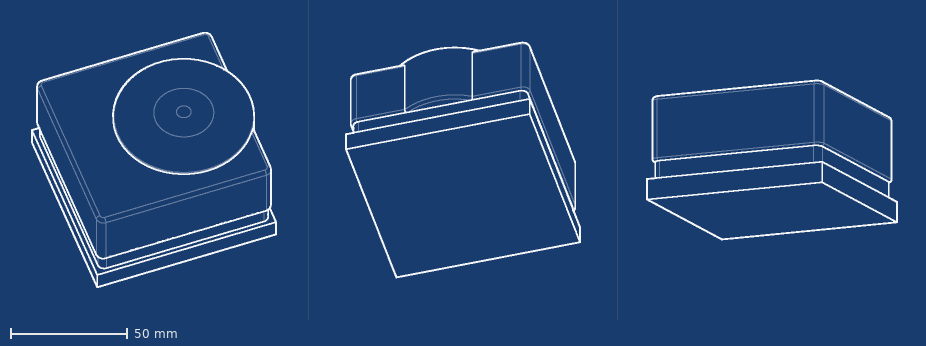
import cadquery as cq

base_side = 82.0
base_top = 9.1

neck_side = 77.95
neck_corner = 2.9

body_side = 80.0
body_corner = 3.2
body_bottom = 17.2
body_top = 46.0
top_fillet = 1.7
bottom_fillet = 1.3

total_length = 85.0
column_radius = 30.4
column_y = total_length - base_side / 2 - column_radius
rim_height = 46.7

overall_height = 50.0
lip_radius = 0.3
crown_radius = 12.9
crown_edge_height = 49.4
flat_radius = 3.15


def rounded_block(side, height, corner, bottom):
    """Square block with rounded vertical edges, standing at the given height."""
    block = cq.Workplane("XY", origin=(0, 0, bottom)).rect(side, side).extrude(height)
    return block.edges("|Z").fillet(corner)


def make_column():
    """Column revolved about its own axis, from the rounded foot to the domed top."""
    lip_top = rim_height + lip_radius
    crown_run = crown_radius - flat_radius
    crown_drop = overall_height - crown_edge_height
    crown_arc = (crown_run**2 + crown_drop**2) / (2 * crown_drop)
    profile = (
        cq.Workplane("XZ")
        .moveTo(0, body_bottom)
        .lineTo(column_radius - bottom_fillet, body_bottom)
        .radiusArc((column_radius, body_bottom + bottom_fillet), -bottom_fillet)
        .lineTo(column_radius, rim_height)
        .radiusArc((column_radius - lip_radius, lip_top), -lip_radius)
        .lineTo(crown_radius, crown_edge_height)
        .radiusArc((flat_radius, overall_height), -crown_arc)
        .lineTo(0, overall_height)
        .close()
    )
    return profile.revolve(360, (0, 0, 0), (0, 1, 0)).translate((0, column_y, 0))


base = cq.Workplane("XY").rect(base_side, base_side).extrude(base_top)

neck = rounded_block(neck_side, body_bottom + bottom_fillet - base_top, neck_corner, base_top)

body = rounded_block(body_side, body_top - body_bottom, body_corner, body_bottom)
body = body.faces(">Z").edges().fillet(top_fillet)
body = body.faces("<Z").edges().fillet(bottom_fillet)

result = base.union(neck).union(body).union(make_column())